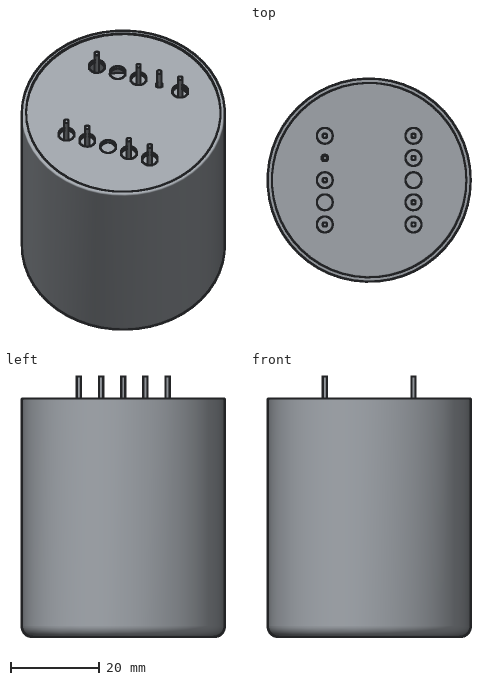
import cadquery as cq

total_height = 59.0
pin_exposed = 5.0
can_height = total_height - pin_exposed
can_radius = 23.0
wall = 1.0
base_fillet = 2.5
inner_base_fillet = base_fillet - wall
rim_fillet = 0.35
bore_radius = can_radius - wall

lid_thickness = 1.0
lid_edge_fillet = 0.35
clearance_hole_diameter = 3.6
close_hole_diameter = 1.5

core_depth = 15.35
core_top = can_height - core_depth
pin_diameter = 1.0

pitch = 5.0
column_x = 2 * pitch
rows = range(-2, 3)
positions = [(side, row) for side in (-1, 1) for row in rows]
empty_positions = [(-1, -1), (1, 0)]
close_position = (-1, 1)


def place(position):
    """Centre of a (side, row) position in X and Y."""
    side, row = position
    return side * column_x, row * pitch


def make_can():
    outside = cq.Workplane("XY").circle(can_radius).extrude(can_height)
    outside = outside.faces("<Z").edges().fillet(base_fillet)
    outside = outside.faces(">Z").edges().fillet(rim_fillet)
    cavity = cq.Workplane("XY").workplane(offset=wall).circle(bore_radius).extrude(can_height - wall)
    cavity = cavity.faces("<Z").edges().fillet(inner_base_fillet)
    return outside.cut(cavity)


def make_lid():
    lid_bottom = can_height - lid_thickness
    lid = cq.Workplane("XY").workplane(offset=lid_bottom).circle(bore_radius).extrude(lid_thickness)
    lid = lid.faces(">Z").edges().fillet(lid_edge_fillet)
    for position in positions:
        diameter = close_hole_diameter if position == close_position else clearance_hole_diameter
        hole = cq.Workplane("XY").workplane(offset=lid_bottom).center(*place(position))
        lid = lid.cut(hole.circle(diameter / 2).extrude(lid_thickness))
    return lid


def make_core():
    core = cq.Workplane("XY").workplane(offset=wall).circle(bore_radius).extrude(core_top - wall)
    core = core.faces("<Z").edges().fillet(inner_base_fillet)
    pin_places = [place(p) for p in positions if p not in empty_positions]
    pins = (
        cq.Workplane("XY")
        .workplane(offset=core_top)
        .pushPoints(pin_places)
        .circle(pin_diameter / 2)
        .extrude(total_height - core_top)
    )
    return core.union(pins)


can = make_can()
lid = make_lid()
core = make_core()

result = cq.Compound.makeCompound([can.val(), lid.val(), core.val()])